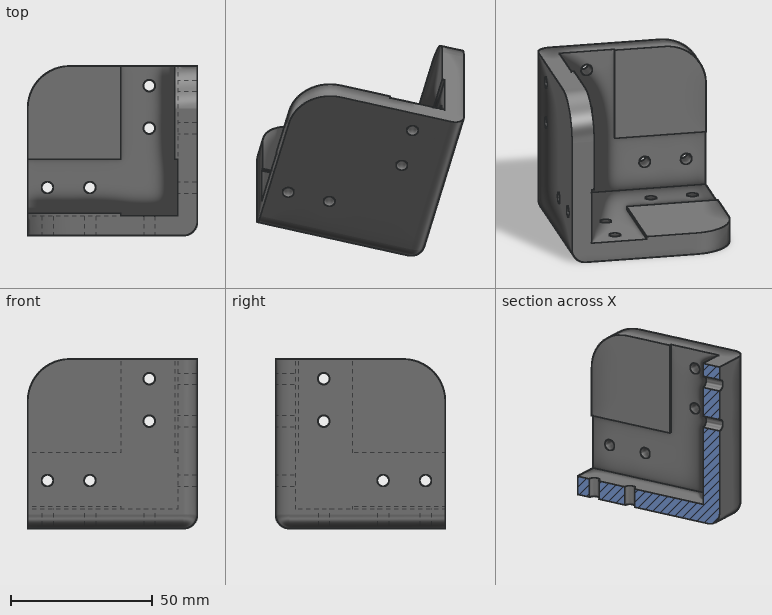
import cadquery as cq

side = 60.0
wall = 8.0
bar_width = 20.0
bar_offset = 7.0
outer_radius = 5.0
plate_radius = 15.0
hole_diameter = 4.0
hole_end_distance = 7.0
hole_spacing = 15.0

bar_end = bar_offset + bar_width
bar_axis = bar_offset + bar_width / 2
hole_places = [side - hole_end_distance, side - hole_end_distance - hole_spacing]


def block(low, high):
    """Box between two corners, each given as distances along the arms (-X, +Y, +Z)."""
    length, width, height = (b - a for a, b in zip(low, high))
    return (
        cq.Workplane("XY")
        .box(length, width, height, centered=False)
        .translate((-high[0], low[1], low[2]))
    )


def rounded_cube():
    """Full cube with the outer edges and the free plate corners rounded."""
    cube = block((0, 0, 0), (side, side, side))
    cube = cube.edges("(>X and <Y) or (>X and <Z) or (<Y and <Z)").fillet(outer_radius)
    return cube.edges("(<X and >Z) or (<X and >Y) or (>Y and >Z)").fillet(plate_radius)


def bar_channel(axis):
    """Square bar running from the inner corner out of the end of one arm."""
    high = [bar_end, bar_end, bar_end]
    high[axis] = side
    return block((bar_offset, bar_offset, bar_offset), high)


def screw_holes(plane, points):
    """Holes along one axis, crossing the plate that lies on that plane."""
    return (
        cq.Workplane(plane)
        .pushPoints(points)
        .circle(hole_diameter / 2)
        .extrude(2 * wall, both=True)
    )


result = rounded_cube().cut(block((wall, wall, wall), (side, side, side)))

for arm in range(3):
    result = result.cut(bar_channel(arm))

for place in hole_places:
    result = result.cut(screw_holes("XY", [(-place, bar_axis), (-bar_axis, place)]))
    result = result.cut(screw_holes("XZ", [(-place, bar_axis), (-bar_axis, place)]))
    result = result.cut(screw_holes("YZ", [(place, bar_axis), (bar_axis, place)]))